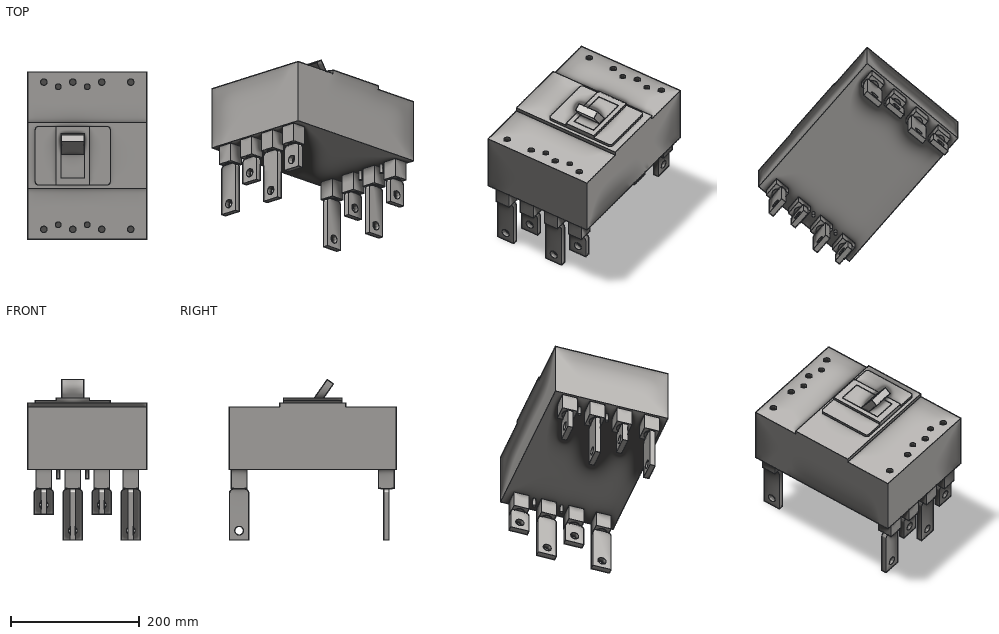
import cadquery as cq
import math

CASE_WIDTH = 185.0
CASE_LENGTH = 260.0
CASE_HEIGHT = 97.5
STEP_LENGTH = 102.5
STEP_HEIGHT = 6.0
STEP_TOP = CASE_HEIGHT + STEP_HEIGHT

ESCUTCHEON_X = -22.5
ESCUTCHEON_WIDTH = 116.5
ESCUTCHEON_LENGTH = 91.0
ESCUTCHEON_CORNER_RADIUS = 5.0
ESCUTCHEON_HEIGHT = 4.0
BAND_WIDTH = 52.0
BAND_HEIGHT = 4.0
BAND_TOP = STEP_TOP + ESCUTCHEON_HEIGHT + BAND_HEIGHT

WINDOW_WIDTH = 36.5
WINDOW_LENGTH = 69.0
WINDOW_DEPTH = 0.5
TOGGLE_WIDTH = 34.5
TOGGLE_THICKNESS = 12.0
TOGGLE_TILT = 35.0
TOGGLE_PIVOT_Z = CASE_HEIGHT
OVERALL_HEIGHT = 249.28

POLE_PITCH = 45.0
POLE_COUNT = 4
POLE_XS = [(i - (POLE_COUNT - 1) / 2) * POLE_PITCH for i in range(POLE_COUNT)]
TERMINAL_Y = 114.3
BLOCK_SIZE = 24.5
BLOCK_HEIGHT = 29.0
COLLAR_DIAMETER = 17.0
COLLAR_HEIGHT = 1.0
BLADE_WIDTH = 30.0
BLADE_THICKNESS = 8.5
BLADE_CORNER_RADIUS = 6.5
BLADE_TOP = -BLOCK_HEIGHT - COLLAR_HEIGHT
BLADE_LENGTHS = {"short": 39.3, "long": 79.3}
BLADE_HOLE_DIAMETER = 13.0
BLADE_HOLE_FROM_END = 14.5
TOGGLE_TOP = OVERALL_HEIGHT + BLADE_TOP - BLADE_LENGTHS["long"]

ACCESS_HOLE_DIAMETER = 10.0
ACCESS_HOLE_DEPTH = 30.0

SCREW_XS = [(a + b) / 2 for a, b in zip(POLE_XS[:2], POLE_XS[1:3])]
SCREW_Y = 107.2
SCREW_POSITIONS = [(x, y) for x in SCREW_XS for y in (-SCREW_Y, SCREW_Y)]
SCREW_HEAD_DIAMETER = 9.0
SCREW_HEAD_HEIGHT = 5.0
SCREW_HOLE_DEPTH = 30.0
SCREW_SEAT_Z = CASE_HEIGHT - SCREW_HOLE_DEPTH
SCREW_SHANK_DIAMETER = 5.0
SCREW_TIP_Z = -14.5


def box_on(z, width, length, height, x=0.0, y=0.0):
    """Box centred on (x, y) whose underside lies at z."""
    return cq.Workplane("XY", origin=(x, y, z)).box(width, length, height, centered=(True, True, False))


def cylinder_between(x, y, bottom, top, diameter):
    """Upright cylinder centred on (x, y)."""
    return cq.Workplane("XY", origin=(x, y, bottom)).circle(diameter / 2).extrude(top - bottom)


def make_toggle():
    """Flat lever leaning toward +Y, its centre line starting at the pivot."""
    tilt = math.radians(TOGGLE_TILT)
    rise = TOGGLE_TOP - TOGGLE_PIVOT_Z - TOGGLE_THICKNESS / 2 * math.sin(tilt)
    length = rise / math.cos(tilt)
    lever = box_on(TOGGLE_PIVOT_Z, TOGGLE_WIDTH, TOGGLE_THICKNESS, length, x=ESCUTCHEON_X)
    pivot = cq.Vector(0, 0, TOGGLE_PIVOT_Z)
    return lever.rotate(pivot, pivot + cq.Vector(1, 0, 0), -TOGGLE_TILT)


def make_terminal(x, y, blade_length, turn):
    """Block, collar and drilled blade under one end of a pole; turn swings the blade about Z."""
    blade = (
        box_on(BLADE_TOP - blade_length, BLADE_WIDTH, BLADE_THICKNESS, blade_length)
        .edges("|Y and >Z").fillet(BLADE_CORNER_RADIUS)
    )
    hole = (
        cq.Workplane("XZ", origin=(0, 0, BLADE_TOP - blade_length + BLADE_HOLE_FROM_END))
        .circle(BLADE_HOLE_DIAMETER / 2)
        .extrude(BLADE_THICKNESS / 2, both=True)
    )
    blade = blade.cut(hole).rotate((0, 0, 0), (0, 0, 1), turn)
    collar = cylinder_between(0, 0, BLADE_TOP, -BLOCK_HEIGHT, COLLAR_DIAMETER)
    block = box_on(-BLOCK_HEIGHT, BLOCK_SIZE, BLOCK_SIZE, BLOCK_HEIGHT)
    return block.union(collar).union(blade).translate((x, y, 0))


def make_screw(x, y):
    """Fixing screw: the head sits in the counterbore and the shank runs out below the case."""
    shank = cylinder_between(x, y, SCREW_TIP_Z, SCREW_SEAT_Z, SCREW_SHANK_DIAMETER)
    head_top = SCREW_SEAT_Z + SCREW_HEAD_HEIGHT
    return shank.union(cylinder_between(x, y, SCREW_SEAT_Z, head_top, SCREW_HEAD_DIAMETER))


def make_breaker():
    """Case with escutcheon, toggle and terminals as one solid."""
    breaker = box_on(0, CASE_WIDTH, CASE_LENGTH, CASE_HEIGHT)
    breaker = breaker.union(box_on(CASE_HEIGHT, CASE_WIDTH, STEP_LENGTH, STEP_HEIGHT))

    escutcheon = box_on(STEP_TOP, ESCUTCHEON_WIDTH, ESCUTCHEON_LENGTH, ESCUTCHEON_HEIGHT, x=ESCUTCHEON_X)
    breaker = breaker.union(escutcheon.edges("|Z").fillet(ESCUTCHEON_CORNER_RADIUS))

    band_bottom = BAND_TOP - BAND_HEIGHT
    breaker = breaker.union(
        box_on(band_bottom, BAND_WIDTH, ESCUTCHEON_LENGTH, BAND_HEIGHT, x=ESCUTCHEON_X)
    )
    window_floor = BAND_TOP - WINDOW_DEPTH
    breaker = breaker.cut(
        box_on(window_floor, WINDOW_WIDTH, WINDOW_LENGTH, WINDOW_DEPTH, x=ESCUTCHEON_X)
    )
    breaker = breaker.union(make_toggle())

    for index, x in enumerate(POLE_XS):
        blade_length = BLADE_LENGTHS["short" if index % 2 == 0 else "long"]
        for y, turn in ((-TERMINAL_Y, 90), (TERMINAL_Y, 0)):
            breaker = breaker.union(make_terminal(x, y, blade_length, turn))
            breaker = breaker.cut(
                cylinder_between(x, y, CASE_HEIGHT - ACCESS_HOLE_DEPTH, CASE_HEIGHT, ACCESS_HOLE_DIAMETER)
            )

    for x, y in SCREW_POSITIONS:
        breaker = breaker.cut(cylinder_between(x, y, 0, SCREW_SEAT_Z, SCREW_SHANK_DIAMETER))
        breaker = breaker.cut(cylinder_between(x, y, SCREW_SEAT_Z, CASE_HEIGHT, SCREW_HEAD_DIAMETER))
    return breaker


breaker = make_breaker()
screws = [make_screw(x, y) for x, y in SCREW_POSITIONS]

result = cq.Compound.makeCompound([breaker.solids().val(), *[screw.val() for screw in screws]])